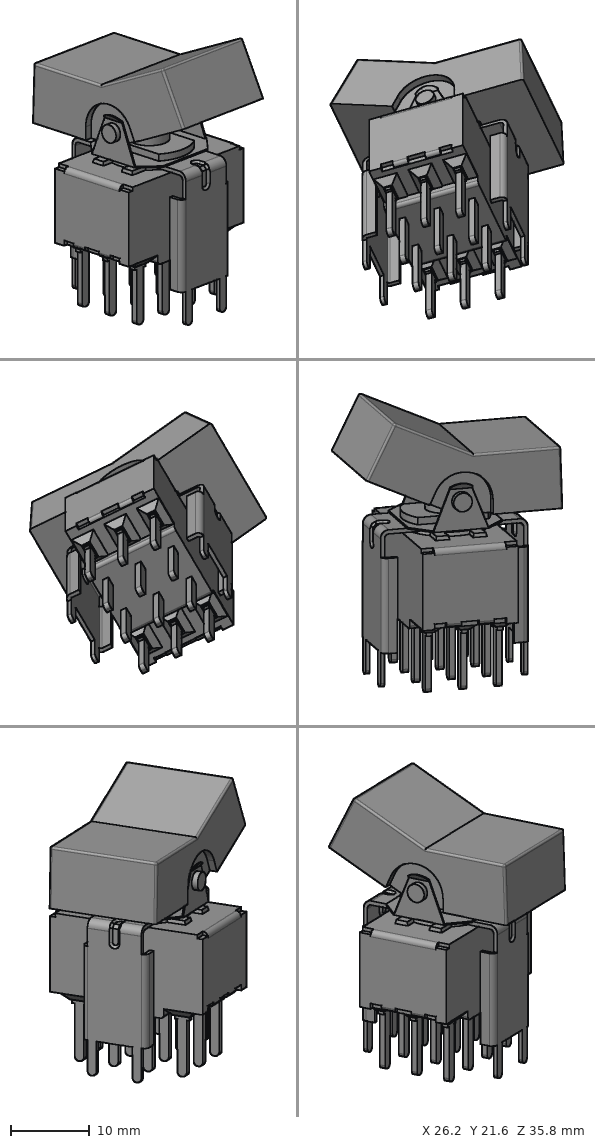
import cadquery as cq
import math


BODY_X, BODY_Y = 12.7, 21.59
BODY_TOP, BODY_BOTTOM = -1.05, -11.65
PANEL_X = 9.57
PANEL_TOP_RADIUS = 0.75
REBATE_Y, REBATE_Z = PANEL_TOP_RADIUS, 0.5
PANEL_BOTTOM = -10.9
PANEL_UNDERCUT = 0.6
LATCH_X, LATCH_SPACING, LATCH_Z, LATCH_RADIUS = 2.0, 4.35, 0.63, 0.5
BASE_Y, BASE_BOTTOM, BASE_RADIUS = 10.6, -12.93, 0.5

SEAT_RADIUS = 5.52
SEAT_DRAFT = 15
TAB_X, TAB_SPACING, TAB_REACH = 1.85, 4.97, 6.9

PIN_PITCH_X = 4.7
OUTER_ROW_Y, INNER_ROW_Y = 7.26, 2.42
PIN_X, PIN_Y = 0.8, 1.3
PIN_TIP_RADIUS = 0.6
SHOULDER_Y, SHOULDER_BOTTOM = 2.06, -13.15
COLLAR_TOP = (3.16, 4.17)
COLLAR_BOTTOM = (1.2, 2.4)
COLLAR_HEIGHT = 1.0
BOARD_END = -20.77

BRACKET_X, BRACKET_Y, BRACKET_T = 19.59, 7.6, 0.55
BEND_RADIUS = 1.1
WAIST_X, WAIST_DEPTH = 9.1, 0.2
LEG_BOTTOM = -16.1
FLANGE_TOP, FLANGE_Y, FLANGE_DEPTH, FLANGE_RADIUS = -3.55, 9.14, 2.05, 0.77
FOOT_Y, FOOT_RADIUS = 1.24, 0.6
RIB_Y, RIB_DEPTH, RIB_DRAFT = 1.5, 0.3, 50
RIB_DROP, RIB_RUN = 3.33, 2.4
RIB_BEND = 1.05

SHEET_T = 0.2
LUG_PLATE_X, LUG_PLATE_Y = 12.52, 13.52
LUG_BASE_X, LUG_TIP_X, LUG_TIP_Z = 7.4, 3.0, 5.5
LUG_PLATE_CORNER = (LUG_PLATE_X - LUG_BASE_X) / 2
FLARE_RADIUS, FLARE_OUT = 2.41, 0.55
NUT_DIAMETER, NUT_FLATS, NUT_TOP = 11.5, 6.64, 1.15
BUSHING_DIAMETER = 5.2

PIVOT_Z = 3.88
PIVOT_DIAMETER = 2.45
ROCKER_TILT = 12.5
ROCKER_Y = 15.13
ROCKER_END_BOTTOM, ROCKER_END_TOP = -13.305, -13.03
ROCKER_BELOW, ROCKER_ABOVE = 1.88, 6.3
ROCKER_RADIUS = 0.3
RECESS_RADIUS = 4.0
RECESS_DEPTH = ROCKER_Y / 2 - LUG_PLATE_Y / 2 + SHEET_T


def box(x, y, z_low, z_high, center=(0, 0)):
    return (cq.Workplane("XY", origin=(center[0], center[1], z_low))
            .rect(x, y).extrude(z_high - z_low))


def along_y(outline, y_low, y_high):
    """Extrude an outline given as (x, z) points between two Y levels."""
    return (cq.Workplane("XZ", origin=(0, y_low, 0))
            .polyline(outline).close().extrude(y_low - y_high))


def both_sides(shape, plane):
    return shape.union(shape.mirror(plane))


def make_housing():
    housing = box(BODY_X, BODY_Y, BODY_BOTTOM, BODY_TOP - REBATE_Z)
    housing = housing.union(box(BODY_X, BODY_Y - 2 * REBATE_Y, BODY_BOTTOM, BODY_TOP))
    panel = box(PANEL_X, BODY_Y, BODY_BOTTOM, BODY_TOP).faces(">Z").edges("|X").fillet(PANEL_TOP_RADIUS)
    gap = box(PANEL_X, BODY_Y, BODY_BOTTOM, BODY_TOP)
    housing = housing.cut(gap).union(panel)
    end_y = BODY_Y / 2 - PANEL_UNDERCUT / 2
    for side, outer_face in ((-1, "<Y"), (1, ">Y")):
        housing = housing.cut(box(PANEL_X, PANEL_UNDERCUT, BODY_BOTTOM, PANEL_BOTTOM, (0, side * end_y)))
        for direction in (-1, 1):
            center = (direction * LATCH_SPACING / 2, side * end_y)
            latch = box(LATCH_X, PANEL_UNDERCUT, PANEL_BOTTOM - LATCH_Z, PANEL_BOTTOM, center)
            housing = housing.union(latch.faces(outer_face).edges("<Z").fillet(LATCH_RADIUS))
    base = box(BODY_X, BASE_Y, BASE_BOTTOM, BODY_BOTTOM).faces("<Z").edges("|X").fillet(BASE_RADIUS)
    return housing.union(base)


def make_seat():
    height = -BRACKET_T - BODY_TOP
    plane = cq.Workplane("XY", origin=(0, 0, BODY_TOP))
    seat = plane.circle(SEAT_RADIUS).extrude(height, taper=SEAT_DRAFT)
    for direction in (-1, 1):
        tab = (plane.center(direction * TAB_SPACING / 2, 0)
               .rect(TAB_X, 2 * TAB_REACH).extrude(height, taper=SEAT_DRAFT))
        seat = seat.union(tab)
    return seat


def make_pin(x, y):
    pin = box(PIN_X, PIN_Y, BOARD_END, BODY_BOTTOM, (x, y))
    return pin.faces("<Z").edges("|X").fillet(PIN_TIP_RADIUS)


def make_collar(x, y):
    collar = (cq.Workplane("XY", origin=(x, y, BODY_BOTTOM)).rect(*COLLAR_TOP)
              .workplane(offset=-COLLAR_HEIGHT).rect(*COLLAR_BOTTOM).loft(ruled=True))
    shoulder = box(PIN_X, SHOULDER_Y, SHOULDER_BOTTOM, BODY_BOTTOM, (x, y))
    return collar.union(shoulder)


def rib_shape(origin, normal, length):
    """Tapered oblong pressed into the sheet along its normal, long in the direction across Y."""
    plane = cq.Plane(origin=origin, xDir=(0, 1, 0), normal=normal)
    return cq.Workplane(plane).slot2D(2 * length, RIB_Y, 90).extrude(RIB_DEPTH, taper=RIB_DRAFT)


def add_left_rib(bracket):
    """Stiffening rib across the left bend: a groove outside and a ridge inside."""
    outer = -BRACKET_X / 2
    inner = outer + BRACKET_T
    bend_inset = BEND_RADIUS * (1 - math.sqrt(0.5))
    inside = box(-2 * inner, RIB_Y, LEG_BOTTOM, -BRACKET_T)
    inner_corner = (inner, 0, -BRACKET_T)
    leg_ridge = rib_shape(inner_corner, (1, 0, 0), RIB_DROP - BRACKET_T)
    web_ridge = rib_shape(inner_corner, (0, 0, -1), RIB_RUN - BRACKET_T)
    bracket = bracket.union(leg_ridge.union(web_ridge).intersect(inside))
    bracket = bracket.cut(rib_shape((outer, 0, 0), (1, 0, 0), RIB_DROP))
    bracket = bracket.cut(rib_shape((outer, 0, 0), (0, 0, -1), RIB_RUN))
    return bracket.cut(rib_shape((outer + bend_inset, 0, -bend_inset), (1, 0, -1), RIB_BEND))


def make_leg():
    """Left leg: a channel with flanges folded inward, and two feet."""
    outer = -BRACKET_X / 2
    channel = box(FLANGE_DEPTH, FLANGE_Y, LEG_BOTTOM, FLANGE_TOP, (outer + FLANGE_DEPTH / 2, 0))
    channel = channel.faces("<X").edges("|Z").fillet(FLANGE_RADIUS)
    hollow = box(FLANGE_DEPTH, FLANGE_Y - 2 * BRACKET_T, LEG_BOTTOM, FLANGE_TOP,
                 (outer + BRACKET_T + FLANGE_DEPTH / 2, 0))
    hollow = hollow.faces("<X").edges("|Z").fillet(FLANGE_RADIUS - BRACKET_T)
    leg = channel.cut(hollow)
    for side in (-1, 1):
        center = (outer + BRACKET_T / 2, side * (BRACKET_Y - FOOT_Y) / 2)
        foot = box(BRACKET_T, FOOT_Y, BOARD_END, FLANGE_TOP, center)
        leg = leg.union(foot.faces("<Z").edges("|X").fillet(FOOT_RADIUS))
    return leg


def make_bracket():
    outer = box(BRACKET_X, BRACKET_Y, LEG_BOTTOM, 0).faces(">Z").edges("|Y").fillet(BEND_RADIUS)
    bracket = outer.cut(box(BRACKET_X - 2 * BRACKET_T, BRACKET_Y, LEG_BOTTOM, -BRACKET_T)
                        .faces(">Z").edges("|Y").fillet(BEND_RADIUS - BRACKET_T))
    for side in (-1, 1):
        center = (0, side * (BRACKET_Y - WAIST_DEPTH) / 2)
        bracket = bracket.cut(box(WAIST_X, WAIST_DEPTH, -BRACKET_T, 0, center))
    bracket = add_left_rib(bracket)
    bracket = add_left_rib(bracket.mirror("YZ"))
    return bracket.union(both_sides(make_leg(), "YZ"))


def make_lug_plate():
    plate = box(LUG_PLATE_X, LUG_PLATE_Y, 0, SHEET_T).edges("|Z").chamfer(LUG_PLATE_CORNER)
    face = -LUG_PLATE_Y / 2
    trapezoid = [(-LUG_BASE_X / 2, 0), (LUG_BASE_X / 2, 0),
                 (LUG_TIP_X / 2, LUG_TIP_Z), (-LUG_TIP_X / 2, LUG_TIP_Z)]
    lug = along_y(trapezoid, face, face + SHEET_T)
    flare_top = PIVOT_Z + FLARE_RADIUS
    flare = (cq.Workplane("YZ", origin=(-LUG_TIP_X / 2, 0, 0))
             .polyline([(face, LUG_TIP_Z), (face + SHEET_T, LUG_TIP_Z),
                        (face + SHEET_T - FLARE_OUT, flare_top), (face - FLARE_OUT, flare_top)])
             .close().extrude(LUG_TIP_X))
    rounding = (cq.Workplane("XZ", origin=(0, 0, PIVOT_Z))
                .circle(FLARE_RADIUS).extrude(LUG_PLATE_Y))
    lug = lug.union(flare.intersect(rounding))
    return plate.union(both_sides(lug, "XZ"))


def make_nut_and_bushing():
    nut = cq.Workplane("XY").circle(NUT_DIAMETER / 2).extrude(NUT_TOP)
    nut = nut.intersect(box(NUT_DIAMETER, NUT_FLATS, 0, NUT_TOP))
    bushing = (cq.Workplane("XY", origin=(0, 0, BODY_TOP))
               .circle(BUSHING_DIAMETER / 2).extrude(PIVOT_Z - BODY_TOP))
    return nut.union(bushing)


def make_recess():
    """Round-topped pocket around the pivot, its sides square to the undersides of the two wings."""
    reach = 2 * RECESS_RADIUS
    recess = cq.Workplane("XZ", origin=(0, -ROCKER_Y / 2 + RECESS_DEPTH, 0)).circle(RECESS_RADIUS)
    recess = recess.extrude(RECESS_DEPTH)
    left = along_y([(-RECESS_RADIUS, 0), (0, 0), (0, -reach), (-RECESS_RADIUS, -reach)],
                   -ROCKER_Y / 2, -ROCKER_Y / 2 + RECESS_DEPTH)
    right = left.mirror("YZ").rotate((0, 0, 0), (0, 1, 0), -2 * ROCKER_TILT)
    return recess.union(left).union(right)


def make_rocker():
    """Built about the pivot with the left wing level, then lifted to the pivot height."""
    lean = math.tan(math.radians(ROCKER_TILT))
    wing_outline = [(ROCKER_END_BOTTOM, -ROCKER_BELOW), (ROCKER_BELOW * lean, -ROCKER_BELOW),
                    (-ROCKER_ABOVE * lean, ROCKER_ABOVE), (ROCKER_END_TOP, ROCKER_ABOVE)]
    wing = along_y(wing_outline, -ROCKER_Y / 2, ROCKER_Y / 2)
    long_edges = wing.faces(">Z").edges("|X")
    wing = wing.faces("<X").edges("not <Z").add(long_edges).fillet(ROCKER_RADIUS)
    other_wing = wing.mirror("YZ").rotate((0, 0, 0), (0, 1, 0), -2 * ROCKER_TILT)
    rocker = wing.union(other_wing).cut(both_sides(make_recess(), "XZ"))
    pivot = cq.Workplane("XZ").circle(PIVOT_DIAMETER / 2).extrude(ROCKER_Y / 2, both=True)
    return rocker.union(pivot).translate((0, 0, PIVOT_Z))


result = make_housing().union(make_seat())
for column in (-1, 0, 1):
    pin_x = column * PIN_PITCH_X
    for side in (-1, 1):
        result = result.union(make_pin(pin_x, side * INNER_ROW_Y))
        result = result.union(make_pin(pin_x, side * OUTER_ROW_Y))
        result = result.union(make_collar(pin_x, side * OUTER_ROW_Y))
result = result.union(make_bracket()).union(make_lug_plate())
result = result.union(make_nut_and_bushing()).union(make_rocker())